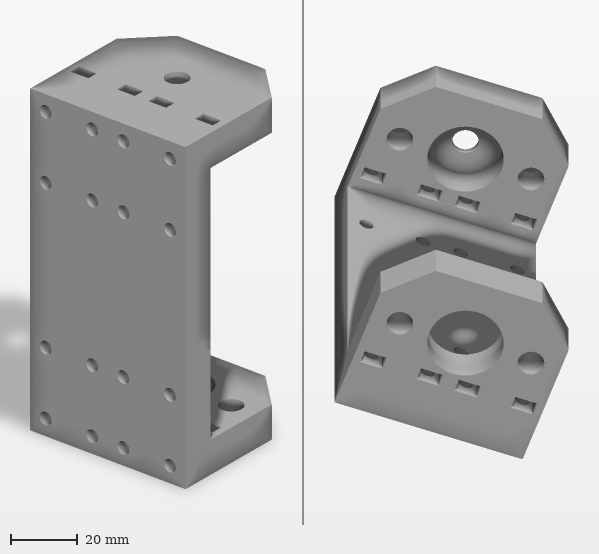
import cadquery as cq

width = 60.0
height = 116.0
plate_thickness = 12.0

total_depth = 54.0
bracket_depth = total_depth - plate_thickness
bracket_thickness = plate_thickness
corner_chamfer = 13.0

screw_diameter = 4.5
inner_screw_x = 6.0
outer_screw_x = 24.0
screw_columns = [-outer_screw_x, -inner_screw_x, inner_screw_x, outer_screw_x]
bracket_screw_inset = bracket_thickness / 2
mounting_screw_inset = 30.0
nut_slot_width = 7.0
nut_slot_depth = 4.1
nut_slot_setback = 4.1

bore_y = 33.0
bore_diameter = 23.0
rod_diameter = 8.0
rod_spacing = 41.8
end_wall = 2.0
shaft_hole_diameter = 8.0


def make_backplate():
    """Flat plate with its front face on Y = 0 and four rows of screw holes."""
    plate = cq.Workplane("XY").box(width, plate_thickness, height, centered=(True, False, False))
    rows = [
        bracket_screw_inset,
        mounting_screw_inset,
        height - mounting_screw_inset,
        height - bracket_screw_inset,
    ]
    screw_holes = (
        cq.Workplane("XZ")
        .pushPoints([(x, z) for x in screw_columns for z in rows])
        .circle(screw_diameter / 2)
        .extrude(-plate_thickness)
    )
    return plate.cut(screw_holes)


def make_bracket_blank(base_z):
    """Bracket with its fastening features, standing on Z = base_z behind the backplate."""
    blank = (
        cq.Workplane("XY", origin=(0, plate_thickness, base_z))
        .box(width, bracket_depth, bracket_thickness, centered=(True, False, False))
        .edges("|Z and >Y")
        .chamfer(corner_chamfer)
    )

    slot_y = plate_thickness + nut_slot_setback + nut_slot_depth / 2
    nut_slots = (
        cq.Workplane("XY", origin=(0, slot_y, base_z))
        .pushPoints([(x, 0) for x in screw_columns])
        .rect(nut_slot_width, nut_slot_depth)
        .extrude(bracket_thickness)
    )

    screw_holes = (
        cq.Workplane("XZ", origin=(0, plate_thickness, base_z))
        .pushPoints([(x, bracket_screw_inset) for x in screw_columns])
        .circle(screw_diameter / 2)
        .extrude(-nut_slot_setback)
    )
    return blank.cut(nut_slots).cut(screw_holes)


def make_bore_and_rod_cutter(base_z, depth):
    """Main bore with a guide rod hole on each side, rising from Z = base_z."""
    base = cq.Workplane("XY", origin=(0, bore_y, base_z))
    bore = base.circle(bore_diameter / 2).extrude(depth)
    rods = (
        base.pushPoints([(-rod_spacing / 2, 0), (rod_spacing / 2, 0)])
        .circle(rod_diameter / 2)
        .extrude(depth)
    )
    return bore.union(rods)


def make_lower_bracket():
    """Bottom bracket: the bore and the rod holes pass right through."""
    return make_bracket_blank(0).cut(make_bore_and_rod_cutter(0, bracket_thickness))


def make_upper_bracket():
    """Top bracket: bore and rod holes stop at the end wall, which the shaft hole pierces."""
    base_z = height - bracket_thickness
    shaft_hole = (
        cq.Workplane("XY", origin=(0, bore_y, base_z))
        .circle(shaft_hole_diameter / 2)
        .extrude(bracket_thickness)
    )
    blind_holes = make_bore_and_rod_cutter(base_z, bracket_thickness - end_wall)
    return make_bracket_blank(base_z).cut(blind_holes).cut(shaft_hole)


backplate = make_backplate()
lower_bracket = make_lower_bracket()
upper_bracket = make_upper_bracket()

result = cq.Compound.makeCompound([backplate.val(), lower_bracket.val(), upper_bracket.val()])